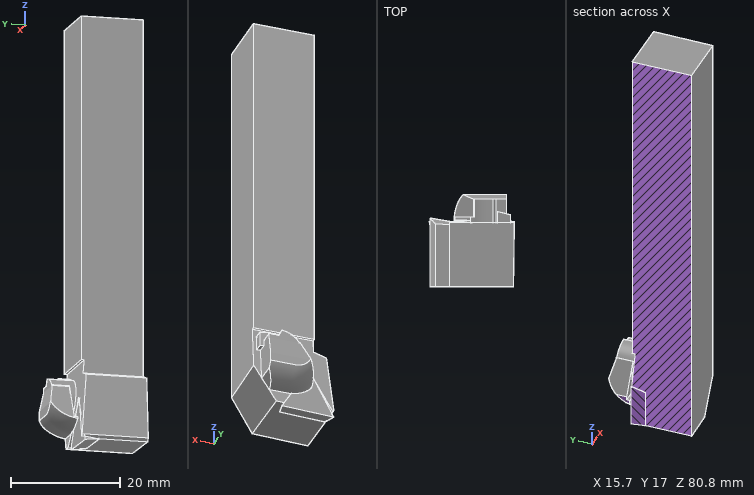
import cadquery as cq
import math

total_length = 80.8
shank_width = 11.95
shank_depth = 11.8
side_draft = 0.2
head_left = -3.55
head_top_left = (-2.5, 12.6)
head_top_root = (0.0, 13.4)
head_bottom_left = 0.4
head_bottom_right = (7.75, 0.7)
corner_rise = 0.65
corner_run = 0.4
chamfer_top = 7.8

seat_top = 15.9
seat_top_depth = 11.2
seat_bottom_depth = 12.7

insert_tip = (-3.7, 0.0)
insert_right = (6.5, 0.3)
insert_back = 12.0
insert_thickness = 2.8
insert_relief = 7.0

clamp_back = 17.0
clamp_top_back = 16.2
clamp_nose = 3.0
clamp_nose_depth = 12.4
clamp_right = 10.5
clamp_corner_height = 5.25
clamp_corner_x = 9.05
hub_center = (8.25, 9.45)
hub_radius = 4.4
hub_top = hub_center[1] + hub_radius
step_left = 8.0
step_right = 8.6
step_drop = 1.2
dome_axis = (5.65, 9.8)
dome_radius = dome_axis[1] - clamp_nose
dome_top_radius = 3.3
dome_bulge = (5.65, 15.0)
arm_tip = (0.4, 4.2)
arm_root = (4.45, 11.95)
crown_bottom = 8.1
crown_top = 11.7
undercut_depth = 12.85
undercut_bottom = 5.4
lug_left = 8.9
lug_right = 11.2
lug_bottom = 11.5
lug_top = 14.3
lug_back = (13.8, 13.25)


def extrude_y(outline, start, end):
    """Extrude a closed XZ sketch along +Y, from depth start to depth end."""
    return outline.extrude(-(end - start)).translate((0, start, 0))


def polygon_y(points, start, end):
    return extrude_y(cq.Workplane("XZ").polyline(points).close(), start, end)


def behind_seat():
    """Everything behind the sloping seat, below its upper end."""
    slope = (seat_top_depth - seat_bottom_depth) / seat_top
    outline = [
        (seat_bottom_depth - slope * total_length, -total_length),
        (seat_top_depth, seat_top),
        (total_length, seat_top),
        (total_length, -total_length),
    ]
    return (
        cq.Workplane("YZ").polyline(outline).close()
        .extrude(total_length, both=True)
    )


def insert_outline():
    """Equilateral triangle standing on the line from the tip to the right corner."""
    dx = insert_right[0] - insert_tip[0]
    dz = insert_right[1] - insert_tip[1]
    apex_x = insert_tip[0] + dx / 2 - dz * math.sqrt(3) / 2
    apex_z = insert_tip[1] + dz / 2 + dx * math.sqrt(3) / 2
    corners = [insert_tip, insert_right, (apex_x, apex_z)]
    return cq.Workplane("XZ", origin=(0, insert_back, 0)).polyline(corners).close()


def make_insert():
    return insert_outline().extrude(insert_thickness, taper=insert_relief)


def make_pocket():
    """Seat of the insert, open toward the back of the head."""
    return make_insert().union(insert_outline().extrude(-insert_thickness))


def make_holder(seat_space, pocket):
    outline = [
        (head_left, head_bottom_left + corner_rise),
        head_top_left,
        head_top_root,
        (0, total_length),
        (shank_width, total_length),
        (shank_width, chamfer_top),
        head_bottom_right,
        (head_left + corner_run, head_bottom_left),
    ]
    body = polygon_y(outline, 0, seat_bottom_depth)
    shank_excess = (
        cq.Workplane("XY").workplane(offset=seat_top)
        .rect(4 * shank_width, 2 * (seat_bottom_depth - shank_depth))
        .extrude(total_length).translate((0, seat_bottom_depth, 0))
    )
    draft = (
        cq.Workplane("XY")
        .polyline([(shank_width - side_draft, 0), (shank_width, 0), (shank_width, shank_depth)])
        .close().extrude(total_length)
    )
    return body.cut(shank_excess).cut(draft).cut(seat_space).cut(pocket)


def make_dome():
    """Clamp envelope: round nose on the left, straight nose on the right, crowned back."""
    def profile():
        return (
            cq.Workplane("XY")
            .lineTo(dome_radius, 0)
            .lineTo(dome_radius, clamp_nose_depth)
            .threePointArc(dome_bulge, (dome_top_radius, clamp_back))
            .lineTo(0, clamp_back)
            .close()
        )

    axis_place = (dome_axis[0], 0, dome_axis[1])
    round_nose = profile().revolve(360, (0, 0), (0, 1)).translate(axis_place)
    straight_nose = (
        profile().extrude(clamp_right - dome_axis[0])
        .rotate((0, 0, 0), (0, 1, 0), 90).translate(axis_place)
    )
    upper_end = polygon_y(
        [(0, dome_axis[1]), (clamp_right, dome_axis[1]), (clamp_right, hub_top), (0, hub_top)],
        0, clamp_back,
    )
    crown = (
        cq.Workplane("YZ")
        .polyline([
            (0, clamp_nose),
            (clamp_back, clamp_nose),
            (clamp_back, crown_bottom),
            (clamp_top_back, crown_top),
            (clamp_top_back, hub_top),
            (0, hub_top),
        ])
        .close().extrude(clamp_right)
    )
    return round_nose.union(straight_nose).union(upper_end).intersect(crown)


def make_lug():
    outline = [(lug_left, 0), (lug_right, 0), (lug_right, lug_back[1]), (lug_left, lug_back[0])]
    return (
        cq.Workplane("XY").workplane(offset=lug_bottom)
        .polyline(outline).close().extrude(lug_top - lug_bottom)
    )


def make_clamp(seat_space):
    arm = polygon_y(
        [
            arm_tip,
            arm_root,
            hub_center,
            (clamp_right, hub_center[1]),
            (clamp_right, clamp_corner_height),
            (clamp_corner_x, clamp_nose),
            (arm_tip[0], clamp_nose),
        ],
        0, clamp_back,
    )
    hub = extrude_y(cq.Workplane("XZ").center(*hub_center).circle(hub_radius), 0, clamp_back)
    flank_top = hub_top - step_drop
    hub_limit = polygon_y(
        [
            (0, clamp_nose),
            (clamp_corner_x, clamp_nose),
            (clamp_right, clamp_corner_height),
            (clamp_right, flank_top),
            (step_right, flank_top),
            (step_left, hub_top),
            (0, hub_top),
        ],
        0, clamp_back,
    )
    hub = hub.intersect(hub_limit)
    undercut = polygon_y(
        [(0, undercut_bottom), (hub_center[0], undercut_bottom), (hub_center[0], hub_top), (0, hub_top)],
        0, undercut_depth,
    ).cut(hub)
    body = arm.union(hub).cut(undercut).intersect(make_dome())
    return body.union(make_lug()).intersect(seat_space)


seat_space = behind_seat()
insert = make_insert()
holder = make_holder(seat_space, make_pocket())
clamp = make_clamp(seat_space)

result = cq.Compound.makeCompound([holder.val(), insert.val(), clamp.val()])